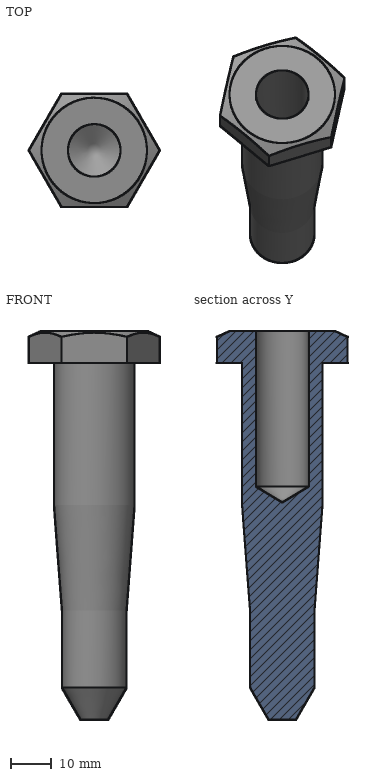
import cadquery as cq
import math

across_flats = 28.0
head_height = 8.0
chamfer_circle_diameter = 26.0
chamfer_angle = 25.0

total_length = 96.0
shank_diameter = 20.0
shank_length = 35.0
taper_length = 26.0
pilot_diameter = 16.0
tip_length = 8.0
tip_half_angle = 30.0

hole_diameter = 13.0
hole_depth = 38.4
drill_point_angle = 118.0

across_corners = across_flats / math.cos(math.radians(30))
head_bottom = total_length - head_height
taper_top = head_bottom - shank_length
taper_bottom = taper_top - taper_length
pilot_radius = pilot_diameter / 2
tip_radius = pilot_radius - tip_length * math.tan(math.radians(tip_half_angle))


def revolve_profile(points):
    """Revolve a closed (radius, height) outline about the Z axis."""
    return cq.Workplane("XZ").polyline(points).close().revolve(360, (0, 0), (0, 1))


def make_head():
    """Hexagon with corners on X, its top corners cut by a cone."""
    hexagon = (
        cq.Workplane("XY")
        .workplane(offset=head_bottom)
        .polygon(6, across_corners)
        .extrude(head_height)
    )
    top_radius = chamfer_circle_diameter / 2
    outer_radius = across_corners
    cone_drop = (outer_radius - top_radius) * math.tan(math.radians(chamfer_angle))
    envelope = revolve_profile([
        (0, 0),
        (outer_radius, 0),
        (outer_radius, total_length - cone_drop),
        (top_radius, total_length),
        (0, total_length),
    ])
    return hexagon.intersect(envelope)


def make_shank():
    """Cylinder, taper, smaller cylinder and conical tip."""
    return revolve_profile([
        (0, 0),
        (tip_radius, 0),
        (pilot_radius, tip_length),
        (pilot_radius, taper_bottom),
        (shank_diameter / 2, taper_top),
        (shank_diameter / 2, head_bottom),
        (0, head_bottom),
    ])


def make_hole():
    """Drilled hole with a conical bottom."""
    radius = hole_diameter / 2
    floor = total_length - hole_depth
    point_depth = radius / math.tan(math.radians(drill_point_angle / 2))
    return revolve_profile([
        (0, floor - point_depth),
        (radius, floor),
        (radius, total_length),
        (0, total_length),
    ])


result = make_head().union(make_shank()).cut(make_hole())